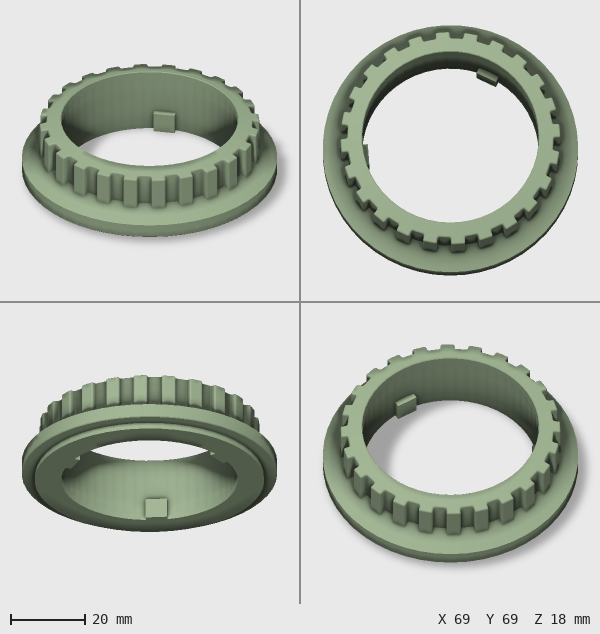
import cadquery as cq
import math

height = 18.02
bore_radius = 47.7 / 2
rim_radius = bore_radius + 0.2
spigot_radius = 62 / 2
spigot_top_radius = spigot_radius - 0.15
spigot_height = 1.8
flange_radius = 69 / 2
flange_chamfer = 0.2
flange_top = 5.6
shoulder_slope = 0.445
top_slope = 0.195

tooth_count = 24
tooth_radius = 29.65
root_radius = 27.85
tooth_width = 3.8
tooth_round = 0.5

key_count = 3
key_width = 5.8
key_height = 5.5
key_face_radius = 22.15
key_sink = 1.0

pitch_angle = 360 / tooth_count


def revolved(profile):
    """Revolve an (r, z) profile about Z, with its seam halfway between two teeth."""
    solid = cq.Workplane("XZ").polyline(profile).close().revolve(360, (0, 0, 0), (0, 1, 0))
    return solid.rotate((0, 0, 0), (0, 0, 1), pitch_angle / 2)


def ring_blank():
    """Flange, shoulder and hub, the hub still with a flat top."""
    return revolved([
        (bore_radius, 0),
        (spigot_radius, 0),
        (spigot_top_radius, spigot_height),
        (flange_radius - flange_chamfer, spigot_height),
        (flange_radius, spigot_height + flange_chamfer),
        (flange_radius, flange_top),
        (root_radius, flange_top + shoulder_slope * (flange_radius - root_radius)),
        (root_radius, height),
        (bore_radius, height),
    ])


def tooth_block():
    """One tooth reaching from inside the hub to its flat outer face."""
    inner_radius = (bore_radius + root_radius) / 2
    block = cq.Workplane("XY", origin=(inner_radius, 0, flange_top)).box(
        tooth_radius - inner_radius, tooth_width, height - flange_top, centered=(False, True, False)
    )
    return block.edges("|Z and >X").fillet(tooth_round)


def top_envelope():
    """Space below the conical top face and the bore chamfer, including the open bore."""
    chamfer_foot = height - (rim_radius - bore_radius)
    return revolved([
        (0, 0),
        (flange_radius, 0),
        (flange_radius, height - top_slope * (flange_radius - rim_radius)),
        (rim_radius, height),
        (bore_radius, chamfer_foot),
        (0, chamfer_foot),
    ])


def edges_to_round(solid):
    """Edges at the tooth feet, in the root corners and round the top; root floors stay sharp."""
    tolerance = 0.01
    radial_margin = 1
    top_zone = 0.9 * height
    pitch = math.radians(pitch_angle)
    found = []
    for edge in solid.Edges():
        box = edge.BoundingBox()
        middle = edge.Center()
        radius = math.hypot(middle.x, middle.y)
        if radius < root_radius - radial_margin or radius > tooth_radius + radial_margin:
            continue
        angle = math.atan2(middle.y, middle.x)
        off_centre = radius * abs(math.sin(angle - pitch * round(angle / pitch)))
        on_tooth = off_centre < tooth_width / 2 + tolerance
        at_foot = on_tooth and flange_top < box.zmin and box.zmax < height / 2
        in_root_corner = on_tooth and box.zlen > height / 4 and radius < root_radius + tolerance
        at_top = box.zmin > top_zone
        if at_foot or in_root_corner or at_top:
            found.append(edge)
    return found


def key():
    """Flat-faced key standing on the bottom plane, sunk into the bore wall."""
    sunk_radius = bore_radius + key_sink
    return cq.Workplane("XY", origin=(key_face_radius, 0, 0)).box(
        sunk_radius - key_face_radius, key_width, key_height, centered=(False, True, False)
    )


def around_axis(shape, count):
    """Copies of a shape spaced evenly about Z, the first one on the X axis."""
    return [shape.rotate((0, 0, 0), (0, 0, 1), i * 360 / count).val() for i in range(count)]


additions = around_axis(tooth_block(), tooth_count) + around_axis(key(), key_count)
ring = cq.Workplane(ring_blank().val().fuse(*additions).clean())
sharp_part = ring.intersect(top_envelope()).val().Solids()[0]

result = cq.Workplane(sharp_part.fillet(tooth_round, edges_to_round(sharp_part)).Solids()[0])